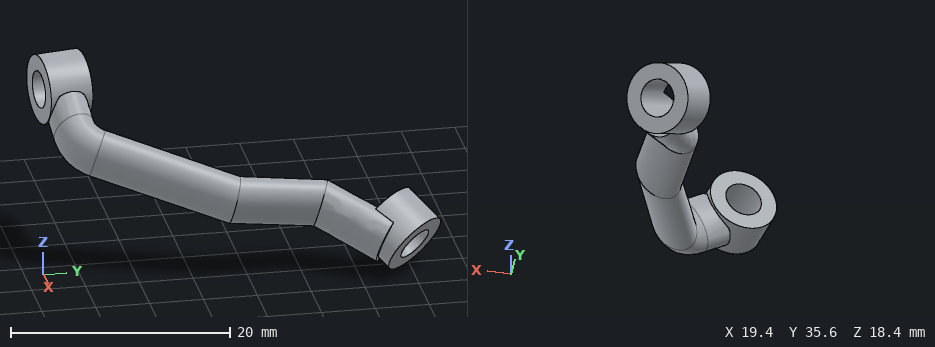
import cadquery as cq
import math

eye_radius = 3.25
eye_length = 4.05
bore_diameter = 3.45
bore_reach = 3

first_eye_turn = 9.7
first_eye_face = cq.Vector(3.9, 0.57, 15.17)
first_eye_axis = cq.Vector(
    -math.sin(math.radians(first_eye_turn)), math.cos(math.radians(first_eye_turn)), 0
)

second_eye_face = cq.Vector(14.35, 30.67, 4.9)
second_eye_axis = cq.Vector(0.63, 0.57, -0.53).normalized()

arm_half_width = 2.7
arm_half_thickness = 1.85
elbow_setback = 1.78
arm_start_offset = 2.5
elbow = cq.Vector(9.23, 3.28, 11.5)
lower_bend = cq.Vector(13.57, 16.9, 6.98)
upper_bend = cq.Vector(13.57, 24.85, 6.05)
arm_end = cq.Vector(16.75, 30.45, 3.28)


def cylinder(center, axis, radius, length):
    return cq.Workplane(obj=cq.Solid.makeCylinder(radius, length, center, axis))


def bore(face, axis):
    """Bore through an eye, also clearing the arm for one eye length beyond each face."""
    return cylinder(face - axis * eye_length, axis, bore_diameter / 2, bore_reach * eye_length)


def oval(center, normal, wide_direction):
    """Oval outline of the arm, square to the given normal."""
    plane = cq.Plane(origin=center, xDir=wide_direction, normal=normal)
    return cq.Workplane(plane).ellipse(arm_half_width, arm_half_thickness)


def arm():
    """Rounded elbow by the first eye, then straight legs that meet on mitre planes."""
    first_eye_center = first_eye_face + first_eye_axis * (eye_length / 2)
    entry = (elbow - first_eye_center).normalized()
    leaving = (lower_bend - elbow).normalized()
    start = first_eye_center + entry * arm_start_offset
    arc_start = elbow - entry * elbow_setback
    arc_end = elbow + leaving * elbow_setback

    bend_axis = entry.cross(leaving).normalized()
    bend_angle = entry.getAngle(leaving)
    bend_radius = elbow_setback / math.tan(bend_angle / 2)
    body = oval(start, entry, bend_axis).extrude((arc_start - start).Length)
    turn = oval(arc_start, entry, bend_axis).revolve(
        math.degrees(bend_angle), (0, -bend_radius, 0), (1, -bend_radius, 0)
    )
    body = body.union(turn)

    points = [arc_end, lower_bend, upper_bend, arm_end]
    directions = [(b - a).normalized() for a, b in zip(points, points[1:])]
    mitres = [(a + b).normalized() for a, b in zip(directions, directions[1:])]
    normals = [leaving] + mitres + [directions[-1]]
    rings = [
        oval(point, normal, bend_axis - normal * bend_axis.dot(normal)).val()
        for point, normal in zip(points, normals)
    ]
    for near, far in zip(rings, rings[1:]):
        body = body.union(cq.Workplane(obj=cq.Solid.makeLoft([near, far], True)))
    return body


result = arm()
eyes = [(first_eye_face, first_eye_axis), (second_eye_face, second_eye_axis)]
for face, axis in eyes:
    result = result.union(cylinder(face, axis, eye_radius, eye_length))
for face, axis in eyes:
    result = result.cut(bore(face, axis))